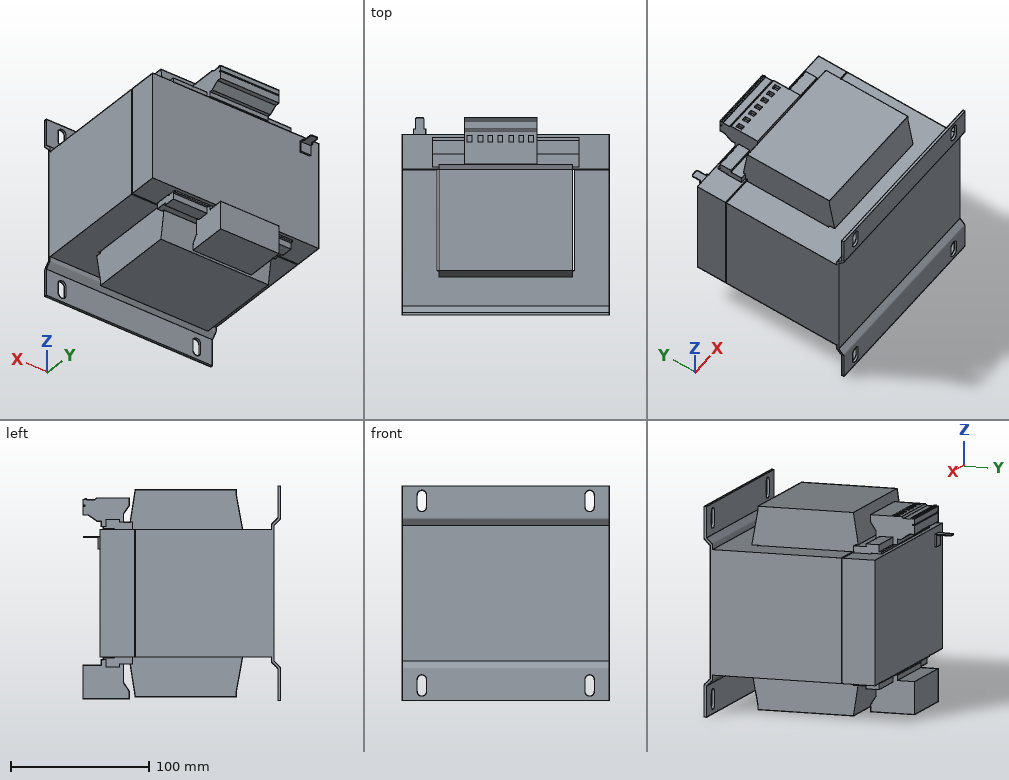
import cadquery as cq
import math


width = 150.0
total_depth = 143.3
height = 155.4

sheet = 2.0
plate_offset = 4.7
foot_bend_z = 54.7
slot_width = 6.7
slot_length = 15.2
slot_spacing_x = 121.5
slot_spacing_z = 133.6

core_front = plate_offset + sheet
core_back = 131.0
core_half_height = 46.3
window_half_width = 49.7
window_front = 32.2
seam_y = 105.5
seam_width = 0.6
seam_depth = 0.3

coil_half_width = 48.5
coil_half_height = 75.0
coil_base_front = 27.5
coil_base_back = 109.9
coil_end_front = 32.2
coil_end_back = 105.4
coil_front_lip = 3.3

carrier_half_width = 53.1
carrier_front = 107.2
carrier_step = 116.7
carrier_rail_back = 126.7
carrier_lip_back = 128.5
carrier_low_z = 51.5
carrier_high_z = 53.5
carrier_lip_z = 48.2
carrier_gap_front = 120.6
carrier_gap = 0.5

block_left = -30.0
block_right = 22.7
block_neck_front = 113.8
block_head_front = 109.5
block_hook_back = 130.0
block_base_z = 52.0
upper_block_top = 69.0
upper_shoulder_z = 63.5
upper_neck_z = 57.5
lower_block_bottom = 76.5
lower_shoulder_z = 71.0
lower_neck_z = 64.8

chamfer_start_y = 132.9
chamfer_end_y = 139.4
chamfer_end_z = 56.5
rebate_y = 141.9
rebate_z = 63.1
ridge_z = 68.5
ridge_front = 140.5
shelf_z = 67.8
shelf_front = 134.7
slope_front = 133.3
marker_bottom_z = 63.7
marker_top_z = 67.9

entry_centres_x = (-26.3, -18.3, -11.2, -3.9, 3.9, 11.2, 18.3)
entry_width = 3.4
entry_length = 4.7
entry_y = 127.9
entry_depth = 3.1

tab_x = -62.3
tab_base_width = 9.0
tab_blade_width = 6.4
tab_shoulder_y = 134.9
tab_tip_y = 143.0
tab_tip_chamfer = 0.8
tab_thickness = 0.8
tab_top_z = 41.0
tab_foot_bottom_z = 31.9
tab_foot_thickness = 1.4


def box(x_range, y_range, z_range):
    """Box between the given limits on each axis."""
    sizes = [high - low for low, high in (x_range, y_range, z_range)]
    corner = (x_range[0], y_range[0], z_range[0])
    return cq.Workplane("XY").box(*sizes, centered=False).translate(corner)


def extrude_along_x(profile, x_start, x_end):
    """Extrude a closed YZ profile between two X positions."""
    return profile.extrude(x_end - x_start).translate((x_start, 0, 0))


def yz_polygon(points):
    return cq.Workplane("YZ").polyline(points).close()


def mirrored(solid):
    """The solid together with its mirror image below the mid-plane."""
    return solid.union(solid.mirror("XY"))


def make_foot_plate():
    """Sheet folded twice at 45 degrees at each end, with bends that are sharp on the inside."""
    diagonal = sheet * math.sqrt(0.5)
    plate_bend_z = foot_bend_z + sheet - 2 * diagonal - plate_offset
    arc_short = sheet * math.sin(math.pi / 8)
    arc_long = sheet * math.cos(math.pi / 8)
    profile = (
        cq.Workplane("YZ")
        .moveTo(plate_offset, 0)
        .lineTo(plate_offset, plate_bend_z)
        .lineTo(sheet - diagonal, foot_bend_z - diagonal)
        .threePointArc((sheet - arc_long, foot_bend_z - arc_short), (0, foot_bend_z))
        .lineTo(0, height / 2)
        .lineTo(sheet, height / 2)
        .lineTo(sheet, foot_bend_z)
        .lineTo(plate_offset + diagonal, plate_bend_z + diagonal)
        .threePointArc(
            (plate_offset + arc_long, plate_bend_z + arc_short),
            (plate_offset + sheet, plate_bend_z),
        )
        .lineTo(plate_offset + sheet, 0)
        .close()
    )
    plate = mirrored(extrude_along_x(profile, -width / 2, width / 2))
    slots = (
        cq.Workplane("XZ")
        .rarray(slot_spacing_x, slot_spacing_z, 2, 2)
        .slot2D(slot_length, slot_width, 90)
        .extrude(-sheet)
    )
    return plate.cut(slots)


def make_core():
    """Core block with its window and a shallow seam around the outside."""
    full_x = (-width / 2, width / 2)
    full_z = (-core_half_height, core_half_height)
    core = box(full_x, (core_front, core_back), full_z)
    window = box((-window_half_width, window_half_width), (window_front, seam_y), full_z)
    seam_range = (seam_y - seam_width / 2, seam_y + seam_width / 2)
    inner_x = width / 2 - seam_depth
    inner_z = core_half_height - seam_depth
    seam = box(full_x, seam_range, full_z).cut(
        box((-inner_x, inner_x), seam_range, (-inner_z, inner_z))
    )
    return core.cut(window).cut(seam)


def make_coil():
    """Winding that fills the window lengthwise and flares over the core at both ends."""
    inside = box(
        (-coil_half_width, coil_half_width),
        (window_front, seam_y),
        (-core_half_height, core_half_height),
    )
    end_profile = yz_polygon([
        (coil_base_front, core_half_height),
        (coil_end_front, coil_half_height - coil_front_lip),
        (coil_end_front, coil_half_height),
        (coil_end_back, coil_half_height),
        (coil_base_back, core_half_height),
    ])
    return inside.union(mirrored(extrude_along_x(end_profile, -coil_half_width, coil_half_width)))


def make_carriers():
    """Stepped rails on the yoke, relieved underneath by a thin gap at the back."""
    profile = yz_polygon([
        (carrier_front, core_half_height),
        (carrier_front, carrier_low_z),
        (carrier_step, carrier_low_z),
        (carrier_step, carrier_high_z),
        (carrier_rail_back, carrier_high_z),
        (carrier_rail_back, carrier_lip_z),
        (carrier_lip_back, carrier_lip_z),
        (carrier_lip_back, core_half_height + carrier_gap),
        (carrier_gap_front, core_half_height + carrier_gap),
        (carrier_gap_front, core_half_height),
    ])
    return mirrored(extrude_along_x(profile, -carrier_half_width, carrier_half_width))


def block_hook():
    """Underside points shared by both blocks, from the neck to the hook behind the rail."""
    return [
        (block_neck_front, carrier_low_z),
        (carrier_rail_back, carrier_low_z),
        (carrier_rail_back, carrier_lip_z),
        (block_hook_back, carrier_lip_z),
        (block_hook_back, block_base_z),
    ]


def make_upper_block():
    """Terminal block with a profiled back, a marker strip and a row of wire entries."""
    profile = yz_polygon(block_hook() + [
        (chamfer_start_y, block_base_z),
        (chamfer_end_y, chamfer_end_z),
        (total_depth, chamfer_end_z),
        (total_depth, rebate_z),
        (rebate_y, rebate_z),
        (rebate_y, ridge_z),
        (ridge_front, ridge_z),
        (ridge_front, shelf_z),
        (shelf_front, shelf_z),
        (slope_front, upper_block_top),
        (block_head_front, upper_block_top),
        (block_head_front, upper_shoulder_z),
        (block_neck_front, upper_neck_z),
    ])
    block = extrude_along_x(profile, block_left, block_right)
    marker = box(
        (block_left, block_right), (rebate_y, total_depth), (marker_bottom_z, marker_top_z)
    )
    entries = (
        cq.Workplane("XY", origin=(0, entry_y, upper_block_top))
        .pushPoints([(x, 0) for x in entry_centres_x])
        .rect(entry_width, entry_length)
        .extrude(-entry_depth)
    )
    return block.union(marker).cut(entries)


def make_lower_block():
    """Plain-backed terminal block hanging from the lower carrier."""
    profile = yz_polygon(block_hook() + [
        (total_depth, block_base_z),
        (total_depth, lower_block_bottom),
        (block_head_front, lower_block_bottom),
        (block_head_front, lower_shoulder_z),
        (block_neck_front, lower_neck_z),
    ])
    return extrude_along_x(profile, block_left, block_right).mirror("XY")


def make_earth_tab():
    """Flat blade with a wider root, standing on a short foot against the yoke."""
    base_x = (tab_x - tab_base_width / 2, tab_x + tab_base_width / 2)
    blade_x = (tab_x - tab_blade_width / 2, tab_x + tab_blade_width / 2)
    blade_z = (tab_top_z - tab_thickness, tab_top_z)
    foot = box(base_x, (core_back, core_back + tab_foot_thickness), (tab_foot_bottom_z, tab_top_z))
    root = box(base_x, (core_back, tab_shoulder_y), blade_z)
    blade = box(blade_x, (core_back, tab_tip_y), blade_z)
    blade = blade.faces(">Y").edges("|Z").chamfer(tab_tip_chamfer)
    return foot.union(root).union(blade)


result = (
    make_foot_plate()
    .union(make_core())
    .union(make_coil())
    .union(make_carriers())
    .union(make_upper_block())
    .union(make_lower_block())
    .union(make_earth_tab())
)